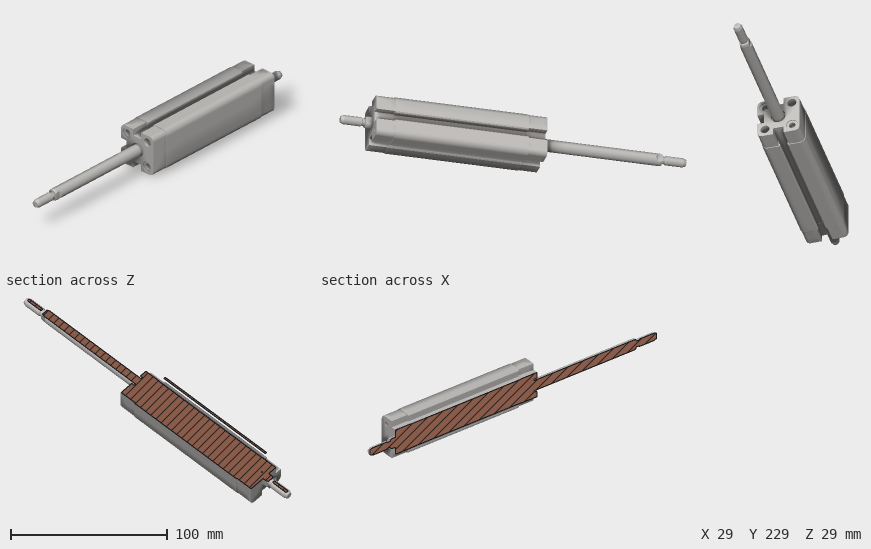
import cadquery as cq

TOTAL_LENGTH = 229.0
ROD_HALF_LENGTH = TOTAL_LENGTH / 2
REAR_FACE_Y = 94.3
FRONT_FACE_Y = -19.0
CAP_LENGTH = 12.4
HOUSING_LENGTH = REAR_FACE_Y - FRONT_FACE_Y

BODY_SIDE = 29.0
CAP_INSET = 0.5
CAP_SIDE = BODY_SIDE - 2 * CAP_INSET
BODY_CORNER_RADIUS = 4.1
CAP_CORNER_RADIUS = 3.2

BODY_SLOT_WIDTH = 6.0
CAP_SLOT_WIDTH = BODY_SLOT_WIDTH + 2 * CAP_INSET
CAP_SLOT_FLOOR = 9.5
BODY_SLOT_FLOOR = 9.2
LIP_GAP = 4.8
LIP_THICKNESS = 1.8
LIP_CHAMFER = 0.7

HOLE_OFFSET = 9.0
THROUGH_HOLE_DIAMETER = 3.2
SOCKET_DIAMETER = 4.4
ENTRY_HOLE_DIAMETER = 6.0
ENTRY_HOLE_DEPTH = 8.0
COUNTERBORE_DIAMETER = 7.5
COUNTERBORE_DEPTH = 0.7
SOCKET_DEPTH = 3.5

ROD_DIAMETER = 8.0
ROD_RECESS_DIAMETER = 9.6
ROD_RECESS_DEPTH = 2.0
STUD_DIAMETER = 6.0
STUD_NECK_DIAMETER = 4.8
STUD_LENGTH = 16.0
STUD_NECK_LENGTH = 1.8
STUD_TIP_DIAMETER = 4.4
STUD_TIP_LENGTH = 2.0
SHOULDER_CHAMFER_LENGTH = 1.5
SHOULDER_CHAMFER_HEIGHT = 0.5
FLAT_WIDTH = 6.0
FLAT_LENGTH = 3.5
FLAT_RUNOUT = 1.0


def along_y(y_start):
    """Workplane at y_start; its X is world X, its Y is world Z; negative extrusions go toward +Y."""
    return cq.Workplane(cq.Plane(origin=(0, y_start, 0), xDir=(1, 0, 0), normal=(0, -1, 0)))


def prism(width, height, center_x, center_z, y_start, length):
    return along_y(y_start).center(center_x, center_z).rect(width, height).extrude(-length)


def cylinder(diameter, x, z, y_start, length):
    return along_y(y_start).center(x, z).circle(diameter / 2).extrude(-length)


def slotted_block(side, corner_radius, slot, y_start, length):
    """Rounded square block with the slot section cut along its top, bottom and -X sides."""
    block = prism(side, side, 0, 0, y_start, length).edges("|Y").fillet(corner_radius)
    cutter = along_y(y_start).polyline(slot).close().extrude(-length)
    for angle in (0, 90, 180):
        block = block.cut(cutter.rotate((0, 0, 0), (0, 1, 0), -angle))
    return block


def mirrored_outline(right_side):
    """Closed section from its +X points, listed from the slot floor outward."""
    return right_side + [(-x, z) for x, z in reversed(right_side)]


def rod_half():
    """Half of the rod, from its middle at y = 0 to the stud tip on the +Y side."""
    shoulder_y = ROD_HALF_LENGTH - STUD_LENGTH
    rod_r = ROD_DIAMETER / 2
    stud_r = STUD_DIAMETER / 2
    neck_r = STUD_NECK_DIAMETER / 2
    half = (
        cq.Workplane("XY")
        .moveTo(0, 0)
        .lineTo(rod_r, 0)
        .lineTo(rod_r, shoulder_y - SHOULDER_CHAMFER_LENGTH)
        .lineTo(rod_r - SHOULDER_CHAMFER_HEIGHT, shoulder_y)
        .lineTo(neck_r, shoulder_y)
        .lineTo(neck_r, shoulder_y + STUD_NECK_LENGTH)
        .lineTo(stud_r, shoulder_y + STUD_NECK_LENGTH + stud_r - neck_r)
        .lineTo(stud_r, ROD_HALF_LENGTH - STUD_TIP_LENGTH)
        .lineTo(STUD_TIP_DIAMETER / 2, ROD_HALF_LENGTH)
        .lineTo(0, ROD_HALF_LENGTH)
        .close()
        .revolve(360, (0, 0, 0), (0, 1, 0))
    )

    flat_x = FLAT_WIDTH / 2
    flat_start = shoulder_y - FLAT_LENGTH
    flat_cutter = (
        cq.Workplane("XY", origin=(0, 0, -rod_r))
        .polyline([
            (flat_x, shoulder_y),
            (flat_x, flat_start),
            (rod_r, flat_start - FLAT_RUNOUT),
            (ROD_DIAMETER, flat_start - FLAT_RUNOUT),
            (ROD_DIAMETER, shoulder_y),
        ])
        .close()
        .extrude(ROD_DIAMETER)
    )
    return half.cut(flat_cutter).cut(flat_cutter.mirror("YZ"))


body_top = BODY_SIDE / 2
lip_bottom = body_top - LIP_THICKNESS
cap_slot = mirrored_outline([
    (CAP_SLOT_WIDTH / 2, CAP_SLOT_FLOOR),
    (CAP_SLOT_WIDTH / 2, body_top),
])
body_slot = mirrored_outline([
    (BODY_SLOT_WIDTH / 2, BODY_SLOT_FLOOR),
    (BODY_SLOT_WIDTH / 2, lip_bottom),
    (LIP_GAP / 2, lip_bottom),
    (LIP_GAP / 2, body_top - LIP_CHAMFER),
    (LIP_GAP / 2 + LIP_CHAMFER, body_top),
])

body_start = FRONT_FACE_Y + CAP_LENGTH
body_length = HOUSING_LENGTH - 2 * CAP_LENGTH
housing = slotted_block(BODY_SIDE, BODY_CORNER_RADIUS, body_slot, body_start, body_length)
for y_start in (FRONT_FACE_Y, REAR_FACE_Y - CAP_LENGTH):
    housing = housing.union(slotted_block(CAP_SIDE, CAP_CORNER_RADIUS, cap_slot, y_start, CAP_LENGTH))

for x in (-HOLE_OFFSET, HOLE_OFFSET):
    housing = housing.cut(cylinder(THROUGH_HOLE_DIAMETER, x, x, FRONT_FACE_Y, HOUSING_LENGTH))
    housing = housing.cut(cylinder(ENTRY_HOLE_DIAMETER, x, x, FRONT_FACE_Y, ENTRY_HOLE_DEPTH))
    housing = housing.cut(cylinder(COUNTERBORE_DIAMETER, x, -x, FRONT_FACE_Y, COUNTERBORE_DEPTH))
    housing = housing.cut(
        cylinder(SOCKET_DIAMETER, x, -x, FRONT_FACE_Y, COUNTERBORE_DEPTH + SOCKET_DEPTH))

housing = housing.cut(cylinder(ROD_RECESS_DIAMETER, 0, 0, FRONT_FACE_Y, ROD_RECESS_DEPTH))

rod_end = rod_half()
result = housing.union(rod_end).union(rod_end.mirror("XZ"))